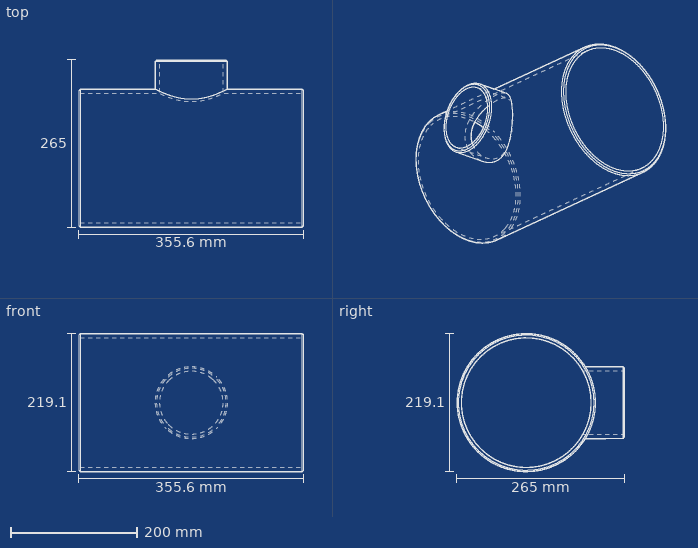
import cadquery as cq

run_length = 355.6
run_diameter = 219.075
branch_diameter = 114.3
branch_reach = 155.448
wall = 7.0358
weld_bevel = wall / 3

branch_plane = cq.Plane(origin=(0, 0, 0), xDir=(0, 0, 1), normal=(0, 1, 0))


def along_run(radius):
    """Rod along X, as long as the run and centred on the branch."""
    return cq.Workplane("YZ").circle(radius).extrude(run_length / 2, both=True)


def along_branch(radius):
    """Rod along +Y, from the run axis to the branch end face."""
    return cq.Workplane(branch_plane).circle(radius).extrude(branch_reach)


def outside():
    """Both pipes as solid rods, bevelled on the three open ends."""
    run = along_run(run_diameter / 2).faces("|X").chamfer(weld_bevel)
    branch = along_branch(branch_diameter / 2).faces(">Y").chamfer(weld_bevel)
    return run.union(branch)


def bores():
    """The joined insides of both pipes."""
    run_bore = along_run(run_diameter / 2 - wall)
    branch_bore = along_branch(branch_diameter / 2 - wall)
    return run_bore.union(branch_bore)


result = outside().cut(bores())